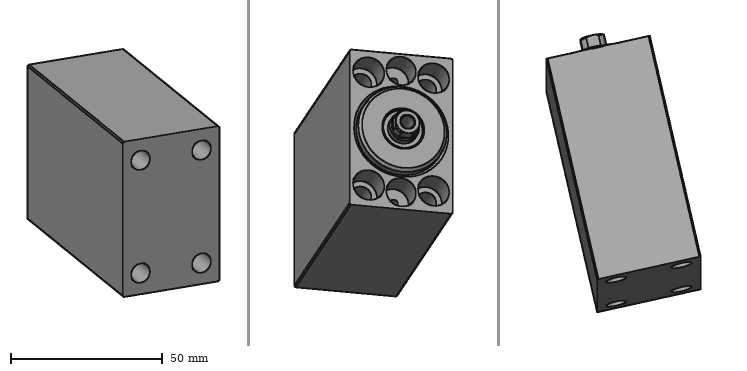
import cadquery as cq
import math


total_length = 85.0
rod_overhang = 9.0

housing_length = total_length - rod_overhang
housing_width = 35.0
housing_height = 55.0
edge_chamfer = 0.5

mount_hole_diameter = 6.8
mount_counterbore_diameter = 10.5
mount_counterbore_depth = 10.2
mount_pitch_y = 22.0
mount_pitch_z = 39.95

port_diameter = 10.0
port_depth = 10.2
port_feed_diameter = 2.7
port_feed_depth = 10.2
port_pitch_z = 43.0

gland_diameter = 30.0
gland_protrusion = 3.0
gland_seat_depth = 10.2
gland_chamfer = 1.0
bore_chamfer = 1.0

wiper_outer_diameter = 14.3
wiper_outer_depth = 0.3
wiper_inner_diameter = 13.4
wiper_inner_depth = 1.0

rod_diameter = 10.0
rod_shoulder_chamfer = 0.5
square_length = 4.0
square_across_flats = 8.0
square_corner_diameter = rod_diameter - 2 * rod_shoulder_chamfer
square_tip_chamfer = 0.5

thread_hole_diameter = 4.5
thread_hole_depth = 10.0
thread_countersink_diameter = 5.1
drill_tip_angle = 118.0


def cylinder_x(start, length, diameter):
    """Solid cylinder along +X, centred on the rod axis."""
    return cq.Workplane("YZ", origin=(start, 0, 0)).circle(diameter / 2).extrude(length)


def cone_x(start, length, start_diameter, end_diameter):
    """Solid cone or truncated cone along +X, centred on the rod axis."""
    cone = cq.Solid.makeCone(
        start_diameter / 2, end_diameter / 2, length, cq.Vector(start, 0, 0), cq.Vector(1, 0, 0)
    )
    return cq.Workplane(obj=cone)


def make_housing():
    """Block with the gland bore, four counterbored mounting holes and two ports."""
    block = (
        cq.Workplane("YZ")
        .rect(housing_width, housing_height)
        .extrude(housing_length)
        .edges("|X")
        .chamfer(edge_chamfer)
    )

    gland_bore = cylinder_x(0, gland_seat_depth, gland_diameter)
    bore_mouth = cone_x(0, bore_chamfer, gland_diameter + 2 * bore_chamfer, gland_diameter)
    block = block.cut(gland_bore).cut(bore_mouth)

    for y in (-mount_pitch_y / 2, mount_pitch_y / 2):
        for z in (-mount_pitch_z / 2, mount_pitch_z / 2):
            through_hole = cylinder_x(0, housing_length, mount_hole_diameter)
            counterbore = cylinder_x(0, mount_counterbore_depth, mount_counterbore_diameter)
            block = block.cut(through_hole.union(counterbore).translate((0, y, z)))

    for z in (-port_pitch_z / 2, port_pitch_z / 2):
        port = cylinder_x(0, port_depth, port_diameter)
        feed = cylinder_x(port_depth, port_feed_depth, port_feed_diameter)
        block = block.cut(port.union(feed).translate((0, 0, z)))
    return block


def make_gland():
    """Disc that closes the bore, with a rod hole and a stepped wiper recess."""
    front = -gland_protrusion
    length = gland_protrusion + gland_seat_depth
    disc = cylinder_x(front, length, gland_diameter).faces("<X").chamfer(gland_chamfer)
    outer_recess = cylinder_x(front, wiper_outer_depth, wiper_outer_diameter)
    inner_recess = cylinder_x(front, wiper_inner_depth, wiper_inner_diameter)
    rod_hole = cylinder_x(front, length, rod_diameter)
    return disc.cut(outer_recess).cut(inner_recess).cut(rod_hole)


def make_rod():
    """Rod with a chamfered shoulder, a square end and a blind threaded hole."""
    tip = -rod_overhang
    shoulder = tip + square_length

    shaft = cylinder_x(shoulder, gland_seat_depth - shoulder, rod_diameter)
    shaft = shaft.faces("<X").chamfer(rod_shoulder_chamfer)

    round_end = cylinder_x(tip, square_length, square_corner_diameter)
    round_end = round_end.faces("<X").chamfer(square_tip_chamfer)
    square_bar = (
        cq.Workplane("YZ", origin=(tip, 0, 0))
        .rect(square_across_flats, square_across_flats)
        .extrude(square_length)
    )
    rod = shaft.union(round_end.intersect(square_bar))

    drill_tip_length = thread_hole_diameter / 2 / math.tan(math.radians(drill_tip_angle / 2))
    countersink_depth = (thread_countersink_diameter - thread_hole_diameter) / 2
    thread_hole = cylinder_x(tip, thread_hole_depth, thread_hole_diameter)
    drill_tip = cone_x(tip + thread_hole_depth, drill_tip_length, thread_hole_diameter, 0)
    countersink = cone_x(tip, countersink_depth, thread_countersink_diameter, thread_hole_diameter)
    return rod.cut(thread_hole).cut(drill_tip).cut(countersink)


housing = make_housing()
gland = make_gland()
rod = make_rod()

result = cq.Compound.makeCompound([housing.val(), gland.val(), rod.val()])